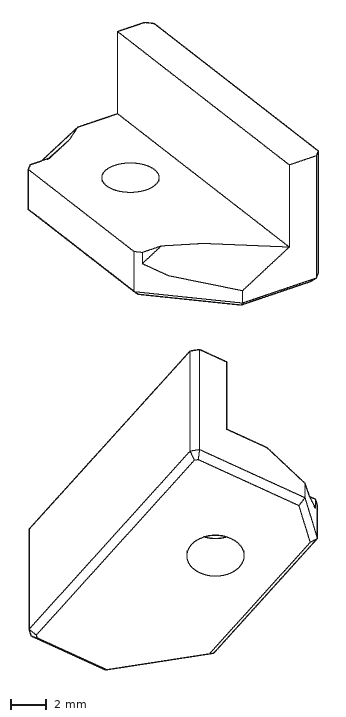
import cadquery as cq
import math

length = 17.42
depth = 9.7
height = 8.35
plate_thickness = 3.0
wall_thickness = 2.2
wall_front = depth - wall_thickness

left_corner = 2.32
right_corner = 4.37
edge_chamfer = 0.38

hole_diameter = 3.2
hole_x = 6.22
hole_y = 4.27

relief_center = 7.66
relief_slope = math.radians(30)
inner_offset = 5.71
inner_back = 1.6
knee_offset = 6.78
knee_back = 3.71
relief_reach = length - relief_center
front_clearance = 0.17


def make_body():
    """Plate with cut corners, chamfered around its base, and an upright rear wall."""
    outline = [
        (left_corner, 0),
        (length - right_corner, 0),
        (length, right_corner),
        (length, depth - edge_chamfer),
        (length - edge_chamfer, depth),
        (edge_chamfer, depth),
        (0, depth - edge_chamfer),
        (0, left_corner),
    ]
    block = cq.Workplane("XY").polyline(outline).close().extrude(height)
    block = block.faces("<Z").edges().chamfer(edge_chamfer)
    step = cq.Workplane("XY", origin=(0, 0, plate_thickness)).rect(
        length, wall_front, centered=False
    ).extrude(height - plate_thickness)
    return block.cut(step)


def make_relief(side):
    """Prism running down toward the front; side is -1 for left and 1 for right."""
    outline = [
        (inner_offset, -front_clearance),
        (inner_offset, inner_back),
        (knee_offset, knee_back),
        (relief_reach, wall_front),
        (relief_reach, -front_clearance),
    ]
    points = [cq.Vector(relief_center + side * x, y, plate_thickness) for x, y in outline]
    drop = cq.Vector(0, -plate_thickness / math.tan(relief_slope), -plate_thickness)
    profile = cq.Wire.makePolygon(points, close=True)
    return cq.Workplane(obj=cq.Solid.extrudeLinear(profile, [], drop))


def make_hole():
    return (
        cq.Workplane("XY")
        .center(hole_x, hole_y)
        .circle(hole_diameter / 2)
        .extrude(plate_thickness)
    )


result = make_body().cut(make_hole())
for side in (-1, 1):
    result = result.cut(make_relief(side))